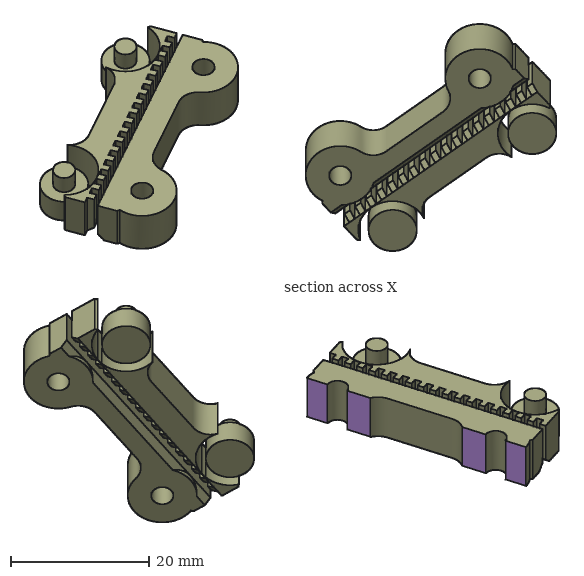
import cadquery as cq
import math


LENGTH = 36.0
HEIGHT = 7.0
BAR_WIDTH = 4.0
LAND_WIDTH = 3.0
BEVEL_WIDTH = 0.3
LOBE_RADIUS = 5.0
FILLET_RADIUS = 3.0
EDGE_CHAMFER = 1.0
HOLE_DIAMETER = 3.2

TOOTH_COUNT = 18
TOOTH_PITCH = LENGTH / TOOTH_COUNT
TOOTH_WIDTH = TOOTH_PITCH / 2
TOOTH_DEPTH = 1.08
TIP_GAP = 0.9
SOCKET_WALL = 0.05
SOCKET_RADIUS = LOBE_RADIUS - SOCKET_WALL

POST_DIAMETER = 7.0
POST_HEIGHT = 4.0
PIN_DIAMETER = HOLE_DIAMETER

LOBE_Y = LENGTH / 2 - LOBE_RADIUS
LOBE_X = LOBE_RADIUS
TOOTH_ROOT_X = -(TIP_GAP + TOOTH_DEPTH)
POST_X = TOOTH_ROOT_X - LOBE_RADIUS
SIDES = (-1, 1)


def at_lobes(x):
    """Workplane on the underside with one point at each lobe centre."""
    return cq.Workplane("XY").pushPoints([(x, side * LOBE_Y) for side in SIDES])


def make_bar():
    """Bar with its mating face on X = 0, growing along +X and flaring out to the lobe circles."""
    end_y = LENGTH / 2
    bevel_x = LAND_WIDTH + BEVEL_WIDTH
    bevel_y = LOBE_Y + math.sqrt(LOBE_RADIUS**2 - (LOBE_X - bevel_x) ** 2)

    fillet_x = BAR_WIDTH + FILLET_RADIUS
    center_distance = LOBE_RADIUS + FILLET_RADIUS
    tangent_angle = math.acos((fillet_x - LOBE_X) / center_distance)
    fillet_y = LOBE_Y - center_distance * math.sin(tangent_angle)
    lobe_point_x = LOBE_X + LOBE_RADIUS * math.cos(tangent_angle)
    lobe_point_y = LOBE_Y - LOBE_RADIUS * math.sin(tangent_angle)
    middle_angle = (math.pi + tangent_angle) / 2
    middle_x = fillet_x + FILLET_RADIUS * math.cos(middle_angle)
    middle_y = fillet_y + FILLET_RADIUS * math.sin(middle_angle)

    return (
        cq.Workplane("XY")
        .moveTo(0, -end_y)
        .lineTo(LAND_WIDTH, -end_y)
        .lineTo(bevel_x, -bevel_y)
        .lineTo(lobe_point_x, -lobe_point_y)
        .threePointArc((middle_x, -middle_y), (BAR_WIDTH, -fillet_y))
        .lineTo(BAR_WIDTH, fillet_y)
        .threePointArc((middle_x, middle_y), (lobe_point_x, lobe_point_y))
        .lineTo(bevel_x, bevel_y)
        .lineTo(LAND_WIDTH, end_y)
        .lineTo(0, end_y)
        .close()
        .extrude(HEIGHT)
    )


def make_plain_half():
    """Chamfered bar with a drilled round lobe near each end; the lobes keep their full height."""
    bar = make_bar().edges("<X and <Z").chamfer(EDGE_CHAMFER)
    lobes = at_lobes(LOBE_X).circle(LOBE_RADIUS).extrude(HEIGHT)
    holes = at_lobes(LOBE_X).circle(HOLE_DIAMETER / 2).extrude(HEIGHT)
    return bar.union(lobes).cut(holes)


def make_tooth(top_y):
    """One belt tooth growing from the root plane along +X, its +Y flank at top_y."""
    return (
        cq.Workplane("XZ", origin=(TOOTH_ROOT_X, top_y, 0))
        .lineTo(TOOTH_DEPTH, EDGE_CHAMFER)
        .lineTo(TOOTH_DEPTH, HEIGHT)
        .lineTo(0, HEIGHT)
        .close()
        .extrude(TOOTH_WIDTH)
    )


def make_toothed_half():
    """Mirrored bar with a round socket in place of each lobe and belt teeth on its mating side."""
    half = make_bar().mirror("YZ").translate((TOOTH_ROOT_X, 0, 0))
    half = half.cut(at_lobes(POST_X).circle(SOCKET_RADIUS).extrude(HEIGHT))
    for index in range(TOOTH_COUNT):
        half = half.union(make_tooth(LENGTH / 2 - index * TOOTH_PITCH))
    return half


def make_post(y):
    """Stepped guide post: a wide round base with a pin on top."""
    base = cq.Workplane("XY").center(POST_X, y).circle(POST_DIAMETER / 2).extrude(POST_HEIGHT)
    return base.faces(">Z").workplane().circle(PIN_DIAMETER / 2).extrude(HEIGHT - POST_HEIGHT)


plain_half = make_plain_half()
toothed_half = make_toothed_half()
posts = [make_post(side * LOBE_Y) for side in SIDES]

result = cq.Compound.makeCompound(
    [plain_half.solids().val(), toothed_half.solids().val(), *[post.solids().val() for post in posts]]
)